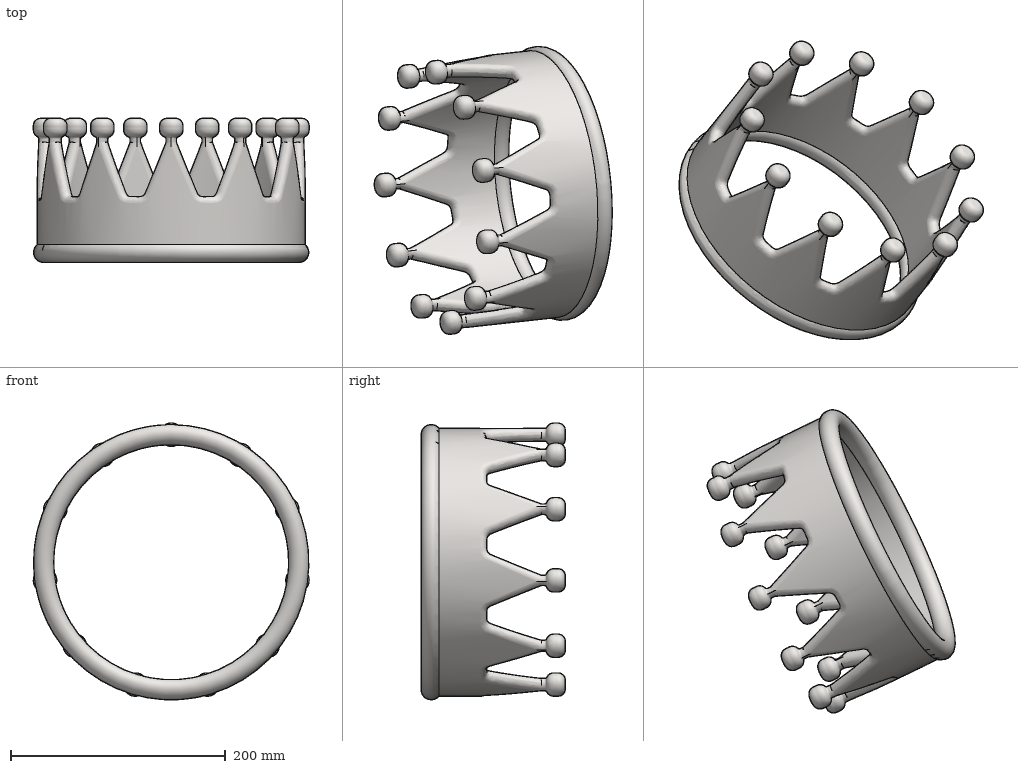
import cadquery as cq
import math

band_outer_radius = 125.0
band_inner_radius = 112.5
band_mid_radius = (band_outer_radius + band_inner_radius) / 2
ring_tube_radius = 9.5

crown_top = 125.02
point_count = 11
point_pitch = 360.0 / point_count
half_pitch = math.radians(point_pitch / 2)

knob_diameter = 22.0
knob_height = 18.0
knob_rounding = 7.0
knob_base_y = crown_top - knob_height
knob_joint_rounding = 2.0

band_top_y = crown_top - knob_height / 2

neck_width = 10.3
neck_base_y = crown_top - 22.4
notch_floor_y = crown_top - 73.1
notch_floor_width = 17.4
notch_corner_radius = 6.0
edge_rounding = 6.0

cutter_reach = 20.0
select_margin = 1.0


def make_half_band():
    """The plain band without notches, on the +Z side of the axis only."""
    far = band_outer_radius + cutter_reach
    tube = (
        cq.Workplane("XZ")
        .circle(band_outer_radius)
        .circle(band_inner_radius)
        .extrude(-band_top_y)
    )
    upper_side = cq.Workplane("XZ").rect(2 * far, far, centered=(True, False)).extrude(-band_top_y)
    return tube.intersect(upper_side)


def notch_wire(radius):
    """Notch outline at a given distance from the axis; the notch narrows in proportion toward it."""
    scale = radius / band_outer_radius
    neck_half_angle = math.asin(neck_width / 2 / band_outer_radius)
    floor_x = scale * notch_floor_width / 2
    neck_x = radius * math.tan(half_pitch - neck_half_angle)
    outline = [
        (-floor_x, notch_floor_y),
        (floor_x, notch_floor_y),
        (neck_x, neck_base_y),
        (neck_x, crown_top),
        (-neck_x, crown_top),
        (-neck_x, neck_base_y),
    ]
    return cq.Workplane("XY", origin=(0, 0, radius)).polyline(outline).close().wire().val()


def make_notch():
    """Cutter for one notch, centred on +Z, with its floor corners rounded."""
    near_wire = notch_wire(band_inner_radius - cutter_reach)
    far_wire = notch_wire(band_outer_radius + cutter_reach)
    cutter = cq.Workplane(obj=cq.Solid.makeLoft([near_wire, far_wire], True))
    floor_corners = cq.selectors.BoxSelector(
        (-notch_floor_width, notch_floor_y - select_margin, band_inner_radius),
        (notch_floor_width, notch_floor_y + select_margin, band_outer_radius),
    )
    return cutter.edges(floor_corners).fillet(notch_corner_radius)


def notch_region(near_z, far_z):
    """Selects edges centred on the notch at +Z between two heights, except those of the band's end."""
    span = band_outer_radius / 2
    return cq.selectors.BoxSelector(
        (-span, notch_floor_y - select_margin, near_z),
        (span, band_top_y - select_margin, far_z),
    )


def make_sector():
    """One notch with rounded rims and half a point on each side, split at the points' centre planes."""
    wedge_depth = band_outer_radius + cutter_reach
    wedge_x = wedge_depth * math.tan(half_pitch)
    wedge = (
        cq.Workplane("XZ")
        .polyline([(0, 0), (wedge_x, wedge_depth), (-wedge_x, wedge_depth)])
        .close()
        .extrude(-band_top_y)
    )
    quarter_wall = (band_outer_radius - band_inner_radius) / 4
    across_wall = notch_region(band_mid_radius - quarter_wall - select_margin, band_mid_radius + select_margin)
    rims = notch_region(0, band_outer_radius) - across_wall
    rounded = make_half_band().cut(make_notch()).edges(rims).fillet(edge_rounding)
    return rounded.intersect(wedge)


def make_knob():
    return (
        cq.Workplane("XZ", origin=(0, crown_top, band_mid_radius))
        .circle(knob_diameter / 2)
        .extrude(knob_height)
        .edges()
        .fillet(knob_rounding)
    )


def make_ring():
    """Rolled ring along the foot of the band; its section circle starts inside the band wall."""
    return (
        cq.Workplane("YZ")
        .moveTo(0, band_mid_radius)
        .circle(ring_tube_radius)
        .revolve(360, (0, 0), (1, 0))
    )


def copies_around_axis(part, first_angle):
    """One copy of a part per point, turned about the crown's axis."""
    solid = part.solids().val()
    origin = cq.Vector(0, 0, 0)
    along_axis = cq.Vector(0, 1, 0)
    return [
        solid.rotate(origin, along_axis, first_angle + index * point_pitch)
        for index in range(point_count)
    ]


def knob_joints():
    """Selects the edges where the necks run into the undersides of the knobs."""
    far = band_outer_radius + cutter_reach
    return cq.selectors.BoxSelector(
        (-far, knob_base_y - select_margin, -far),
        (far, knob_base_y + select_margin, far),
    )


sectors = copies_around_axis(make_sector(), point_pitch / 2)
band = sectors[0].fuse(*sectors[1:]).clean()

knobs = copies_around_axis(make_knob(), 0)
crown = cq.Workplane(obj=band.fuse(*knobs))
crown = crown.edges(knob_joints()).fillet(knob_joint_rounding)

result = crown.union(make_ring())